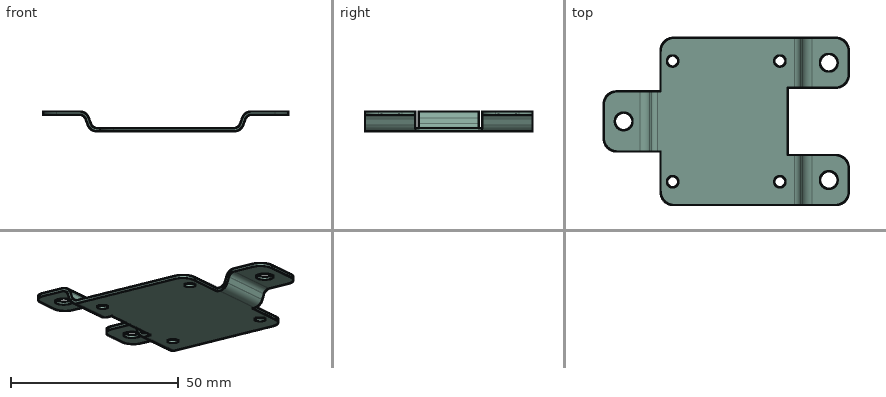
import cadquery as cq
import math

length = 73.2
width = 50.0
height = 6.0
thickness = 1.0
corner_radius = 4.0

plate_left = -19.6
notch_left = 18.4
left_tab_width = 18.0
right_tab_width = 15.0
notch_width = width - 2 * right_tab_width

left_flange_length = 10.8
right_flange_length = 11.0
bend_radius = 2.5
bend_angle = math.radians(70)
step = height - thickness
bend_run = bend_radius * math.sin(bend_angle)
bend_rise = bend_radius * (1 - math.cos(bend_angle))
slope_rise = step - 2 * bend_rise
slope_run = slope_rise / math.tan(bend_angle)
joggle_run = 2 * bend_run + slope_run

small_hole_diameter = 3.3
small_hole_spacing_x = 32.0
small_hole_spacing_y = 36.0
tab_hole_diameter = 5.2
left_tab_hole_x = -30.6
right_tab_hole_x = 30.6
right_tab_hole_spacing = 35.0


def bent_sheet():
    """Full-width sheet swept along its mid-thickness line from left to right."""
    left_end = -length / 2
    right_end = length / 2
    low_z = thickness / 2
    high_z = low_z + step
    left_high = left_end + left_flange_length
    left_low = left_high + joggle_run
    right_high = right_end - right_flange_length
    right_low = right_high - joggle_run
    path = (
        cq.Workplane("XZ")
        .moveTo(left_end, high_z)
        .lineTo(left_high, high_z)
        .tangentArcPoint((left_high + bend_run, high_z - bend_rise), relative=False)
        .lineTo(left_low - bend_run, low_z + bend_rise)
        .tangentArcPoint((left_low, low_z), relative=False)
        .lineTo(right_low, low_z)
        .tangentArcPoint((right_low + bend_run, low_z + bend_rise), relative=False)
        .lineTo(right_high - bend_run, high_z - bend_rise)
        .tangentArcPoint((right_high, high_z), relative=False)
        .lineTo(right_end, high_z)
    )
    section = cq.Workplane("YZ", origin=(left_end, 0, high_z)).rect(width, thickness)
    return section.sweep(path)


def block(x_start, x_end, y_size):
    """Full-height block centred on Y = 0."""
    return cq.Workplane("XY").box(
        x_end - x_start, y_size, height, centered=(False, True, False)
    ).translate((x_start, 0, 0))


def plan_shape():
    """Plan outline of the plate and its three tabs, extruded to full height."""
    plate = block(plate_left, length / 2, width).edges("|Z").fillet(corner_radius)
    notch = block(notch_left, length / 2, notch_width)
    left_tab = block(-length / 2, plate_left, left_tab_width)
    left_tab = left_tab.edges("|Z and <X").fillet(corner_radius)
    notched = plate.cut(notch)
    notched = notched.edges("|Z and >X").fillet(corner_radius)
    return notched.union(left_tab)


def hole_cutters(centers, diameter):
    return cq.Workplane("XY").pushPoints(centers).circle(diameter / 2).extrude(height)


small_hole_centers = [
    (side_x * small_hole_spacing_x / 2, side_y * small_hole_spacing_y / 2)
    for side_x in (-1, 1)
    for side_y in (-1, 1)
]
tab_hole_centers = [
    (left_tab_hole_x, 0),
    (right_tab_hole_x, -right_tab_hole_spacing / 2),
    (right_tab_hole_x, right_tab_hole_spacing / 2),
]

result = (
    bent_sheet()
    .intersect(plan_shape())
    .cut(hole_cutters(small_hole_centers, small_hole_diameter))
    .cut(hole_cutters(tab_hole_centers, tab_hole_diameter))
)